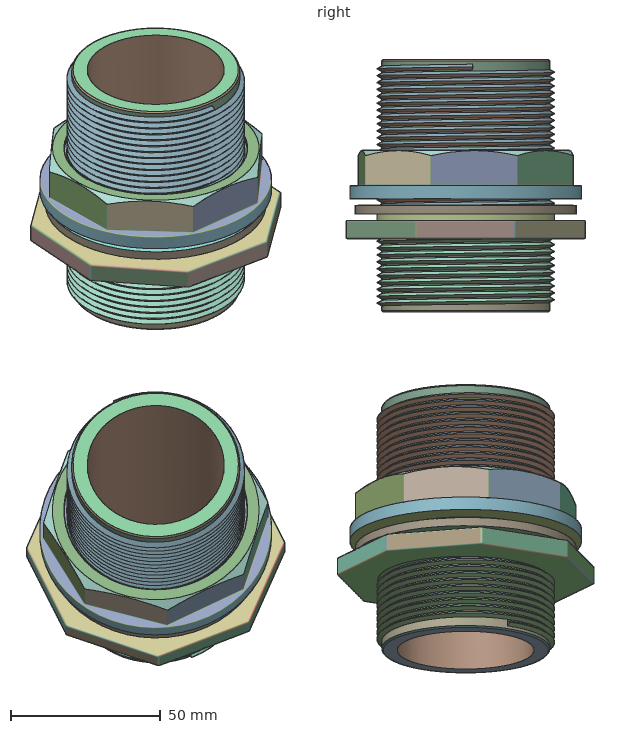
import cadquery as cq
import math

body_length = 84.5
bore_radius = 22.9
core_radius = 28.1
end_chamfer = 0.5

thread_radius = 29.75
thread_base_width = 1.9
thread_root_embed = 0.25
thread_start_z = 2.4
upper_thread_gap = 0.1
thread_end_z = 82.0
thread_start_angle = 180.0
thread_last_crest_z = 80.8
thread_whole_turns = 34
thread_pitch = (thread_last_crest_z - thread_start_z) / thread_whole_turns

flange_across_flats = 80.0
flange_bottom_z = 24.5
flange_thickness = 6.2
flange_corner_radius = 0.9
flange_edge_radius = 0.5
collar_height = 2.0
flange_top_z = flange_bottom_z + flange_thickness
collar_top_z = flange_top_z + collar_height

thread_clearance = 0.1
clear_radius = thread_radius + thread_clearance

washer_radius = 37.0
washer_thickness = 3.1
washer_rim_width = 2.1
washer_rim_drop = 0.25

nut_bottom_z = 37.85
nut_collar_radius = 38.8
nut_collar_height = 4.4
nut_corner_radius = 37.8
nut_octagon_height = 11.9
nut_corner_angle = 27.2
nut_top_radius = 34.6
nut_corner_drop = 1.9
nut_edge_radius = 0.25
nut_mouth_radius = 30.6
nut_mouth_depth = 1.2
nut_mouth_chamfer = 0.2

octagon_sides = 8
octagon_corner_ratio = math.cos(math.pi / octagon_sides)


def octagonal_prism(corner_radius, corner_angle, bottom_z, height):
    """Upright octagonal prism with one corner at the given angle from +X."""
    return (
        cq.Workplane("XY")
        .polygon(octagon_sides, 2 * corner_radius)
        .extrude(height)
        .rotate((0, 0, 0), (0, 0, 1), corner_angle)
        .translate((0, 0, bottom_z))
    )


def cylinder(radius, bottom_z, height):
    return cq.Workplane("XY").workplane(offset=bottom_z).circle(radius).extrude(height)


def thread_ridge(first_z, last_z):
    """V-shaped ridge whose crest climbs the helix from one height to the other."""
    root_radius = core_radius - thread_root_embed
    flank_slope = thread_base_width / 2 / (thread_radius - core_radius)
    half_root_width = flank_slope * (thread_radius - root_radius)
    path = cq.Wire.makeHelix(thread_pitch, last_z - first_z, core_radius)
    ridge = (
        cq.Workplane("XZ")
        .moveTo(root_radius, -half_root_width)
        .lineTo(thread_radius, 0)
        .lineTo(root_radius, half_root_width)
        .close()
        .sweep(cq.Workplane(obj=path), isFrenet=True)
    )
    turned = thread_start_angle + 360 * (first_z - thread_start_z) / thread_pitch
    return ridge.rotate((0, 0, 0), (0, 0, 1), turned).translate((0, 0, first_z))


def make_body():
    core = cylinder(core_radius, 0, body_length).faces("<Z or >Z").chamfer(end_chamfer)
    flange_corner = flange_across_flats / 2 / octagon_corner_ratio
    flange = octagonal_prism(flange_corner, 180 / octagon_sides, flange_bottom_z, flange_thickness)
    flange = flange.edges("|Z").fillet(flange_corner_radius)
    flange = flange.faces("<Z or >Z").edges().fillet(flange_edge_radius)
    collar = cylinder(thread_radius, flange_top_z, collar_height)
    lower_thread = thread_ridge(thread_start_z, flange_bottom_z + thread_base_width)
    upper_thread = thread_ridge(collar_top_z + upper_thread_gap, thread_end_z)
    bore = cylinder(bore_radius, 0, body_length)
    return core.union(lower_thread).union(upper_thread).union(flange).union(collar).cut(bore)


def make_washer():
    top_z = collar_top_z + washer_thickness
    return (
        cq.Workplane("XZ")
        .moveTo(clear_radius, collar_top_z)
        .lineTo(washer_radius, collar_top_z)
        .lineTo(washer_radius, top_z - washer_rim_drop)
        .lineTo(washer_radius - washer_rim_width, top_z)
        .lineTo(clear_radius, top_z)
        .close()
        .revolve(360, (0, 0), (0, 1))
    )


def make_nut():
    octagon_bottom_z = nut_bottom_z + nut_collar_height
    top_z = octagon_bottom_z + nut_octagon_height
    octagon = octagonal_prism(nut_corner_radius, nut_corner_angle, octagon_bottom_z, nut_octagon_height)
    octagon = octagon.edges("|Z").fillet(nut_edge_radius)
    bevel_limit = (
        cq.Workplane("XZ")
        .moveTo(0, octagon_bottom_z)
        .lineTo(nut_corner_radius, octagon_bottom_z)
        .lineTo(nut_corner_radius, top_z - nut_corner_drop)
        .lineTo(nut_top_radius, top_z)
        .lineTo(0, top_z)
        .close()
        .revolve(360, (0, 0), (0, 1))
    )
    collar = cylinder(nut_collar_radius, nut_bottom_z, nut_collar_height)
    nut = collar.union(octagon.intersect(bevel_limit))
    nut = nut.faces("+Z").faces("<Z").edges().fillet(nut_edge_radius)
    hole = cylinder(clear_radius, nut_bottom_z, top_z - nut_bottom_z)
    mouth = cylinder(nut_mouth_radius, top_z - nut_mouth_depth, nut_mouth_depth)
    nut = nut.cut(hole).cut(mouth)
    inner_edge = cq.selectors.RadiusNthSelector(0)
    return nut.faces(">Z").edges(inner_edge).chamfer(nut_mouth_chamfer)


body = make_body()
washer = make_washer()
nut = make_nut()

result = cq.Compound.makeCompound([part.solids().val() for part in (body, washer, nut)])